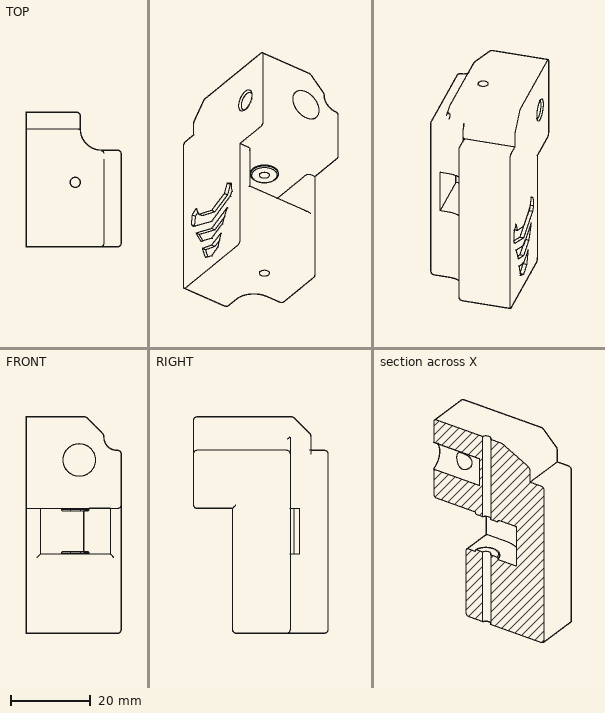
import cadquery as cq
import math


WIDTH = 23.84
DEPTH = 33.8
HEIGHT = 54.3
HEAD_HEIGHT = 23.0
HEAD_OVERHANG = 9.8
HEAD_BOTTOM = HEIGHT - HEAD_HEIGHT
EDGE_RADIUS = 1.0
MARGIN = 5.0
OVERLAP = 0.2
TOLERANCE = 0.01
ARC_MIDDLE = math.sqrt(0.5)
ARC_SAG = 1 - ARC_MIDDLE

LEDGE_DROP = 8.4
LEDGE_Z = HEIGHT - LEDGE_DROP
BACK_LEDGE = 4.3
CROWN_BACK = DEPTH - BACK_LEDGE
CROWN_SIDE = 19.5
COVE_RADIUS = 3.2

SLOPE = 4.5
SLOPE_BACK_Y = CROWN_BACK - SLOPE
SLOPE_SIDE_X = CROWN_SIDE - SLOPE
CORNER_CUT = 7.2
CROWN_RADIUS = 1.25
NOTCH_EDGE_RADIUS = 0.4
SLOPE_LIMIT_Z = LEDGE_Z + 2.0

NOTCH_X = 13.6
NOTCH_DEPTH = 9.5
NOTCH_Y = DEPTH - NOTCH_DEPTH
NOTCH_RADIUS = NOTCH_DEPTH - BACK_LEDGE

AXIS_X = 12.3
AXIS_Y = 16.2
POCKET_FLOOR = 19.9
POCKET_LEFT = 3.6
POCKET_RIGHT = 21.1
POCKET_ROUND_X = 12.6
POCKET_RADIUS = POCKET_ROUND_X - POCKET_LEFT
PASSAGE_LEFT = 14.45
BOSS_DIAMETER = 7.0
BOSS_HEIGHT = 0.6
BOSS_CHAMFER = 0.3
AXLE_DIAMETER = 2.5

BORE_DIAMETER = 8.15
BORE_X = 13.3
BORE_Z = HEIGHT - 10.85
BORE_DEPTH = 14.0
SCREW_DIAMETER = 4.7
SCREW_MOUTH_DIAMETER = 5.65
SCREW_Y = 7.55
SCREW_CHAMFER_ANGLE = 45
SCREW_CHAMFER = (SCREW_MOUTH_DIAMETER - SCREW_DIAMETER) / 2

CHEVRON_DEPTH = 1.0
CHEVRON_Y = (HEAD_OVERHANG + DEPTH) / 2
CHEVRONS = [
    [(0, 17.63), (5.4, 19.64), (6.6, 22.2), (8.2, 21.15), (8.6, 18.4), (7.8, 17.3), (0, 14.15)],
    [(0, 11.95), (6.6, 14.5), (4.55, 10.7), (0, 8.9)],
    [(0, 6.75), (3.95, 8.1), (2.7, 4.6), (0, 3.35)],
]


def yz_plane(x):
    return cq.Workplane("YZ", origin=(x, 0, 0))


def xz_plane(y):
    """Sketch plane across the part; a negative extrusion runs toward +Y."""
    return cq.Workplane(cq.Plane(origin=(0, y, 0), xDir=(1, 0, 0), normal=(0, -1, 0)))


def base_block():
    outline = [
        (0, HEAD_BOTTOM),
        (HEAD_OVERHANG, HEAD_BOTTOM),
        (HEAD_OVERHANG, 0),
        (DEPTH, 0),
        (DEPTH, LEDGE_Z),
        (CROWN_BACK, LEDGE_Z),
        (CROWN_BACK, HEIGHT),
        (0, HEIGHT),
    ]
    return yz_plane(0).polyline(outline).close().extrude(WIDTH)


def side_ledge_cut():
    """Space beside the crown, with a cove where its wall meets the ledge."""
    cove_top = LEDGE_Z + COVE_RADIUS
    cove_end = CROWN_SIDE + COVE_RADIUS
    sag = COVE_RADIUS * ARC_SAG
    return (
        xz_plane(-MARGIN)
        .moveTo(CROWN_SIDE, HEIGHT + MARGIN)
        .lineTo(CROWN_SIDE, cove_top)
        .threePointArc((CROWN_SIDE + sag, LEDGE_Z + sag), (cove_end, LEDGE_Z))
        .lineTo(WIDTH + MARGIN, LEDGE_Z)
        .lineTo(WIDTH + MARGIN, HEIGHT + MARGIN)
        .close()
        .extrude(-(DEPTH + 2 * MARGIN))
    )


def corner_notch_cut():
    sag = NOTCH_RADIUS * ARC_SAG
    return (
        cq.Workplane("XY")
        .workplane(offset=-MARGIN)
        .moveTo(NOTCH_X, DEPTH + MARGIN)
        .lineTo(NOTCH_X, NOTCH_Y + NOTCH_RADIUS)
        .threePointArc((NOTCH_X + sag, NOTCH_Y + sag), (NOTCH_X + NOTCH_RADIUS, NOTCH_Y))
        .lineTo(WIDTH + MARGIN, NOTCH_Y)
        .lineTo(WIDTH + MARGIN, DEPTH + MARGIN)
        .close()
        .extrude(HEIGHT + 2 * MARGIN)
    )


def slope_cut(x, y, normal):
    """Everything above a sloped plane through the top-face point (x, y), down to the cove."""
    size = 2 * HEIGHT
    plane = cq.Plane(origin=(x, y, HEIGHT), normal=normal)
    slab = cq.Workplane(plane).rect(size, size).extrude(size)
    crown_zone = cq.Workplane("XY", origin=(0, 0, SLOPE_LIMIT_Z)).rect(size, size).extrude(size)
    return slab.intersect(crown_zone)


def edge_round_profile(plane, across, up):
    """Section of a tool that rounds an edge at (across, up), solid on the lower inner side."""
    sag = EDGE_RADIUS * ARC_SAG
    return (
        plane
        .moveTo(across - EDGE_RADIUS, up)
        .threePointArc((across - sag, up - sag), (across, up - EDGE_RADIUS))
        .lineTo(across + OVERLAP, up - EDGE_RADIUS)
        .lineTo(across + OVERLAP, up + OVERLAP)
        .lineTo(across - EDGE_RADIUS, up + OVERLAP)
        .close()
    )


def round_ledge_ends(body):
    """Rounds the cove and both ledges where they meet the notch wall."""
    cove_axis = cq.Workplane("YZ", origin=(CROWN_SIDE + COVE_RADIUS, 0, LEDGE_Z + COVE_RADIUS))
    along_side_ledge = edge_round_profile(cove_axis, NOTCH_Y, -COVE_RADIUS).extrude(WIDTH)
    along_cove = edge_round_profile(cove_axis, NOTCH_Y, -COVE_RADIUS).revolve(90, (0, 0), (1, 0))
    along_back_ledge = edge_round_profile(xz_plane(CROWN_BACK), NOTCH_X, LEDGE_Z).extrude(-BACK_LEDGE)
    return body.cut(along_cove).cut(along_side_ledge).cut(along_back_ledge)


def near(a, b):
    return abs(a - b) < TOLERANCE


def is_crown_edge(edge):
    """Borders a sloped crown face, away from the front and the mounting face."""
    box = edge.BoundingBox()
    return box.ymax > TOLERANCE and box.xmax > TOLERANCE


def crown_edges(block):
    flats = block.faces("%PLANE").vals()
    sloped = [face for face in flats if TOLERANCE < face.normalAt().z < 1 - TOLERANCE]
    edges = cq.Workplane().newObject(sloped).edges().vals()
    return [edge for edge in edges if is_crown_edge(edge)]


def notch_crown_edges(block):
    """Curved edge where the notch cuts the sloped corner face."""
    edges = block.edges().vals()
    return [e for e in edges if e.geomType() == "ELLIPSE" and e.BoundingBox().zmin > LEDGE_Z]


def is_outer_edge(edge):
    """Lies on an outer face of the block, the head underside or the back corner."""
    box = edge.BoundingBox()
    on_mount = near(box.xmax, 0)
    inner_corner = near(box.ymin, HEAD_OVERHANG) and near(box.ymax, box.ymin) and box.zmin > TOLERANCE
    if on_mount or inner_corner:
        return False
    on_front = near(box.ymax, 0)
    on_side = near(box.xmin, WIDTH)
    on_bottom = near(box.zmax, 0)
    on_back = near(box.ymin, DEPTH)
    under_head = near(box.zmin, HEAD_BOTTOM) and near(box.zmax, HEAD_BOTTOM)
    back_corner = near(box.xmin, NOTCH_X) and near(box.xmax, NOTCH_X) and near(box.ymax, DEPTH)
    return on_front or on_side or on_bottom or on_back or under_head or back_corner


def rounded_body():
    body = base_block().cut(side_ledge_cut())
    body = body.cut(slope_cut(0, SLOPE_BACK_Y, (0, 1, 1)))
    body = body.cut(slope_cut(SLOPE_SIDE_X, 0, (1, 0, 1)))
    body = body.cut(slope_cut(SLOPE_SIDE_X, SLOPE_BACK_Y - CORNER_CUT, (1, 1, 2)))
    body = body.newObject(crown_edges(body)).fillet(CROWN_RADIUS)
    body = body.cut(corner_notch_cut())
    body = body.newObject(notch_crown_edges(body)).fillet(NOTCH_EDGE_RADIUS)
    body = round_ledge_ends(body)
    outer_edges = [edge for edge in body.edges().vals() if is_outer_edge(edge)]
    return body.newObject(outer_edges).fillet(EDGE_RADIUS)


def pocket_cut():
    """Pulley pocket, open to the front, with a passage out to the notch wall."""
    wall_y = AXIS_Y + POCKET_RADIUS
    diagonal = POCKET_RADIUS * ARC_MIDDLE
    pocket = (
        cq.Workplane("XY", origin=(0, 0, POCKET_FLOOR))
        .moveTo(POCKET_LEFT, HEAD_OVERHANG)
        .lineTo(POCKET_LEFT, AXIS_Y)
        .threePointArc((POCKET_ROUND_X - diagonal, AXIS_Y + diagonal), (POCKET_ROUND_X, wall_y))
        .lineTo(PASSAGE_LEFT, wall_y)
        .lineTo(PASSAGE_LEFT, DEPTH)
        .lineTo(POCKET_RIGHT, DEPTH)
        .lineTo(POCKET_RIGHT, HEAD_OVERHANG)
        .close()
        .extrude(HEAD_BOTTOM - POCKET_FLOOR)
    )
    mid_height = (POCKET_FLOOR + HEAD_BOTTOM) / 2
    passage_edge = cq.selectors.NearestToPointSelector((PASSAGE_LEFT, wall_y, mid_height))
    return pocket.edges(passage_edge).fillet(EDGE_RADIUS)


def boss(z, direction):
    """Bearing boss around the axle, rising from z; direction is +1 up or -1 down."""
    plane = cq.Plane(origin=(AXIS_X, AXIS_Y, z), xDir=(1, 0, 0), normal=(0, 0, direction))
    return (
        cq.Workplane(plane)
        .circle(BOSS_DIAMETER / 2)
        .extrude(BOSS_HEIGHT)
        .faces(">Z" if direction > 0 else "<Z")
        .chamfer(BOSS_CHAMFER)
    )


def is_pocket_mouth_edge(edge):
    box = edge.BoundingBox()
    on_body_front = near(box.ymin, HEAD_OVERHANG) and near(box.ymax, HEAD_OVERHANG)
    within_pocket = box.xmin > POCKET_LEFT - TOLERANCE and box.xmax < POCKET_RIGHT + TOLERANCE
    below_head = POCKET_FLOOR - TOLERANCE < box.zmin < HEAD_BOTTOM - TOLERANCE
    return on_body_front and within_pocket and below_head


def add_pulley_pocket(body):
    body = body.cut(pocket_cut())
    mouth = [edge for edge in body.edges().vals() if is_pocket_mouth_edge(edge)]
    body = body.newObject(mouth).fillet(EDGE_RADIUS)
    body = body.union(boss(POCKET_FLOOR, 1)).union(boss(HEAD_BOTTOM, -1))
    axle_hole = cq.Workplane("XY").center(AXIS_X, AXIS_Y).circle(AXLE_DIAMETER / 2).extrude(HEIGHT)
    return body.cut(axle_hole)


def rod_bore():
    return xz_plane(0).center(BORE_X, BORE_Z).circle(BORE_DIAMETER / 2).extrude(-BORE_DEPTH)


def clamping_screw_hole():
    """Hole from the mounting face into the rod bore, countersunk at its mouth."""
    hole = yz_plane(0).center(SCREW_Y, BORE_Z).circle(SCREW_DIAMETER / 2).extrude(BORE_X)
    countersink = (
        yz_plane(0)
        .center(SCREW_Y, BORE_Z)
        .circle(SCREW_MOUTH_DIAMETER / 2)
        .extrude(SCREW_CHAMFER, taper=SCREW_CHAMFER_ANGLE)
    )
    return hole.union(countersink)


def chevron_recess(half_outline):
    near_half = [(CHEVRON_Y - across, z) for across, z in half_outline]
    far_half = [(CHEVRON_Y + across, z) for across, z in reversed(half_outline[1:-1])]
    return yz_plane(0).polyline(near_half + far_half).close().extrude(CHEVRON_DEPTH)


result = add_pulley_pocket(rounded_body())
result = result.cut(rod_bore()).cut(clamping_screw_hole())
for half_outline in CHEVRONS:
    result = result.cut(chevron_recess(half_outline))